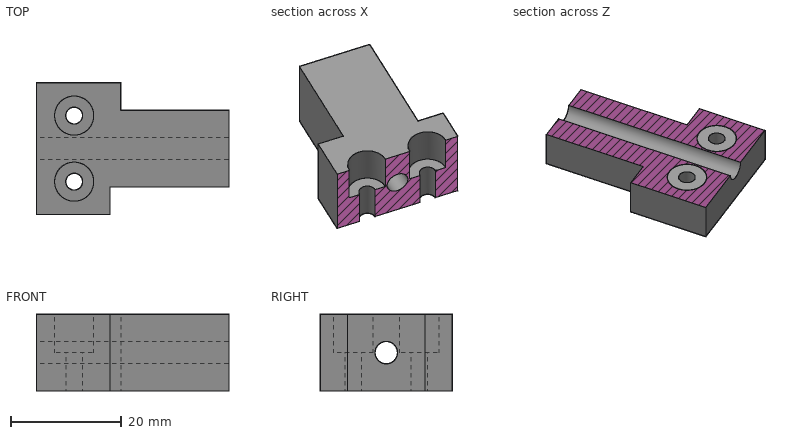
import cadquery as cq

length = 35.0
head_width = 24.0
height = 14.0
stem_width = 14.0

head_length_back = 15.33
head_length_front = 13.4

screw_x = 6.85
screw_spacing = 12.0
screw_diameter = 3.0
counterbore_diameter = 7.1
counterbore_depth = height / 2

bore_diameter = 4.02


def make_body():
    """T-shaped block with unequal shoulders."""
    half_head = head_width / 2
    half_stem = stem_width / 2
    outline = [
        (0, -half_head),
        (head_length_front, -half_head),
        (head_length_front, -half_stem),
        (length, -half_stem),
        (length, half_stem),
        (head_length_back, half_stem),
        (head_length_back, half_head),
        (0, half_head),
    ]
    return cq.Workplane("XY").workplane(offset=-height / 2).polyline(outline).close().extrude(height)


def cut_screw_holes(body):
    """Vertical through holes, counterbored from the top."""
    centres = [(screw_x, -screw_spacing / 2), (screw_x, screw_spacing / 2)]
    return (
        body.faces(">Z")
        .workplane(origin=(0, 0, height / 2))
        .pushPoints(centres)
        .cboreHole(screw_diameter, counterbore_diameter, counterbore_depth)
    )


def cut_bore(body):
    """Bore along the whole length, on the centre line."""
    bore = cq.Workplane("YZ").circle(bore_diameter / 2).extrude(length)
    return body.cut(bore)


result = cut_bore(cut_screw_holes(make_body()))